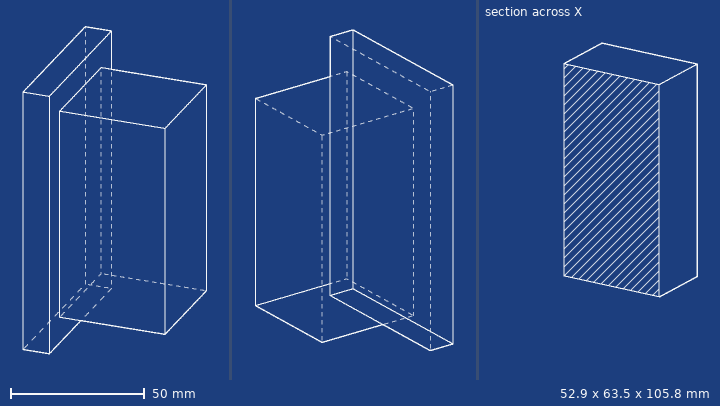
import cadquery as cq

plate_thickness = 10.6
plate_width = 63.5
plate_height = 105.8

block_length = 42.3
edge_margin = 10.6
block_width = plate_width - 2 * edge_margin
block_height = plate_height - 2 * edge_margin

plate = cq.Workplane("YZ").rect(plate_width, plate_height).extrude(plate_thickness)

result = (
    plate.faces(">X")
    .workplane()
    .rect(block_width, block_height)
    .extrude(block_length)
)